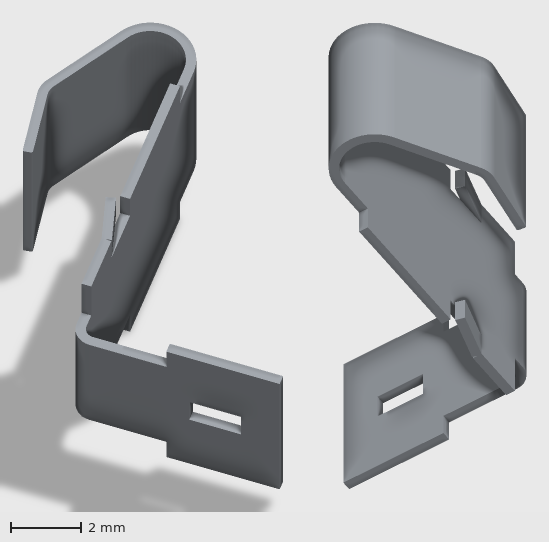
import cadquery as cq
import math

thickness = 0.3
left_edge = -3.66
right_edge = 6.35
overall_length = 11.02

plate_width = 6.35
tail_width = 5.04
hook_width = 4.74
neck_width = 3.58

corner_radius = 0.6
plate_start = 1.0
plate_end = 8.54
tail_start = 2.92
slot_length = 1.56
slot_height = 0.84
slot_center_x = 4.4

hook_radius = 1.31
knee_radius = 0.8
arm_angle = 31.0
lip_angle = 8.0
lip_end_y = 5.43
lip_edge_fillet = 0.05

notch_start = 2.71
notch_end = 4.3
notch_depth = 0.8
tab_width = 0.76
tab_length = 1.47
tab_angle = 15.0
tab_embed = 0.03


def around(center, radius, degrees):
    """Point on a circle in the XY plane."""
    angle = math.radians(degrees)
    return (center[0] + radius * math.cos(angle), center[1] + radius * math.sin(angle))


def extrude_centered(profile, width):
    """Extrude an XY profile symmetrically about Z = 0."""
    return profile.extrude(width / 2, both=True)


def box_between(x_range, y_range, width):
    """Box over the given X and Y ranges, centred in Z."""
    size_x = x_range[1] - x_range[0]
    size_y = y_range[1] - y_range[0]
    box = cq.Workplane("XY").box(size_x, size_y, width, centered=(False, False, True))
    return box.translate((x_range[0], y_range[0], 0))


def make_neck():
    """Narrow L-shaped strip that joins the plate to the tail."""
    center = (corner_radius, corner_radius)
    inner_radius = corner_radius - thickness
    profile = (
        cq.Workplane("XY")
        .moveTo(0, plate_start)
        .lineTo(0, corner_radius)
        .threePointArc(around(center, corner_radius, 225), (corner_radius, 0))
        .lineTo(tail_start, 0)
        .lineTo(tail_start, thickness)
        .lineTo(corner_radius, thickness)
        .threePointArc(around(center, inner_radius, 225), (thickness, corner_radius))
        .lineTo(thickness, plate_start)
        .close()
    )
    return extrude_centered(profile, neck_width)


def make_tail():
    """Wide end of the foot with its rectangular slot."""
    tail = box_between((tail_start, right_edge), (0, thickness), tail_width)
    slot = cq.Workplane("XY").box(slot_length, 2 * thickness, slot_height)
    return tail.cut(slot.translate((slot_center_x, thickness / 2, 0)))


def make_plate():
    """Wide plate with an open notch at each long edge."""
    plate = box_between((0, thickness), (plate_start, plate_end), plate_width)
    notch = box_between((0, thickness), (notch_start, notch_end), notch_depth)
    for side in (-1, 1):
        plate = plate.cut(notch.translate((0, 0, side * (plate_width - notch_depth) / 2)))
    return plate


def make_tab(side):
    """Tab hinged at the start of a notch and tilted towards -X."""
    tab = box_between((0, thickness), (-tab_embed, tab_length), tab_width)
    tab = tab.rotate((0, 0, 0), (0, 0, 1), tab_angle)
    return tab.translate((0, notch_start, side * (plate_width - tab_width) / 2))


def make_hook():
    """Strip that curls over from the plate and ends in the spring lip."""
    hook_center = (thickness - hook_radius, overall_length - hook_radius)
    hook_inner = hook_radius - thickness
    knee_inner = knee_radius - thickness
    arm_normal = 180 - arm_angle
    lip_normal = 180 + lip_angle
    knee_middle = (arm_normal + lip_normal) / 2

    normal_x, normal_y = around((0, 0), 1, arm_normal)
    knee_x = left_edge + knee_radius
    along_normal = hook_center[0] * normal_x + hook_center[1] * normal_y + hook_radius - knee_radius
    knee_center = (knee_x, (along_normal - knee_x * normal_x) / normal_y)

    lip_top = around(knee_center, knee_radius, lip_normal)
    lip_length = (lip_top[1] - lip_end_y) / math.cos(math.radians(lip_angle))
    lip_outer = around(lip_top, lip_length, lip_normal + 90)
    lip_inner = around(lip_outer, thickness, lip_angle)

    profile = (
        cq.Workplane("XY")
        .moveTo(thickness, plate_end)
        .lineTo(thickness, hook_center[1])
        .threePointArc(
            around(hook_center, hook_radius, arm_normal / 2),
            around(hook_center, hook_radius, arm_normal),
        )
        .lineTo(*around(knee_center, knee_radius, arm_normal))
        .threePointArc(around(knee_center, knee_radius, knee_middle), lip_top)
        .lineTo(*lip_outer)
        .lineTo(*lip_inner)
        .lineTo(*around(knee_center, knee_inner, lip_normal))
        .threePointArc(
            around(knee_center, knee_inner, knee_middle),
            around(knee_center, knee_inner, arm_normal),
        )
        .lineTo(*around(hook_center, hook_inner, arm_normal))
        .threePointArc(around(hook_center, hook_inner, arm_normal / 2), (0, hook_center[1]))
        .lineTo(0, plate_end)
        .close()
    )
    hook = extrude_centered(profile, hook_width)
    for corner in (lip_outer, lip_inner):
        nearest = cq.selectors.NearestToPointSelector((corner[0], corner[1], 0))
        hook = hook.edges("|Z").edges(nearest).fillet(lip_edge_fillet)
    return hook


result = make_plate().union(make_neck()).union(make_tail()).union(make_hook())
for tab_side in (-1, 1):
    result = result.union(make_tab(tab_side))